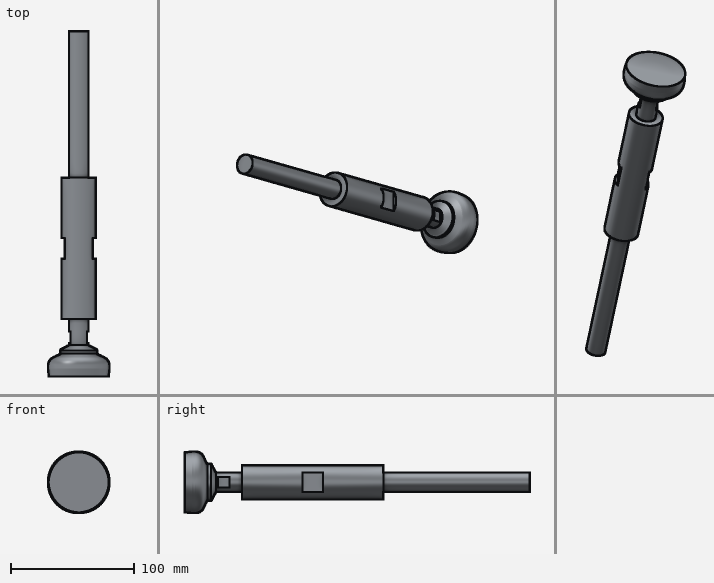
import cadquery as cq
import math

TOTAL_LENGTH = 280.0

SPINDLE_DIAMETER = 16.0
SPINDLE_FLATS_WIDTH = 13.5
SPINDLE_FLATS_START = 27.2
SPINDLE_FLATS_LENGTH = 9.2

SLEEVE_DIAMETER = 28.0
SLEEVE_START = 46.5
SLEEVE_LENGTH = 114.8
SLEEVE_FLATS_WIDTH = 23.0
SLEEVE_FLATS_LENGTH = 16.8

FOOT_DIAMETER = 50.0
FOOT_BASE_DIAMETER = 48.7
RIM_START = 6.2
RIM_END = 8.7
SHOULDER_RADIUS = 7.5
SHOULDER_SLOPE = 26.0

COLLAR_DIAMETER = 30.2
COLLAR_NECK_DIAMETER = 29.0
COLLAR_EDGE_START = 19.3
COLLAR_EDGE_END = 21.3
COLLAR_EDGE_BULGE = 0.17
COLLAR_SHOULDER_DIAMETER = 27.5
COLLAR_SHOULDER_HEIGHT = 22.5
COLLAR_TOP = 25.5


def rod(diameter, start, length):
    """Solid cylinder along +Y."""
    return cq.Workplane("XZ", origin=(0, start, 0)).circle(diameter / 2).extrude(-length)


def cut_flats(body, diameter, width, start, length):
    """Cut two opposite wrench flats facing -X and +X."""
    depth = (diameter - width) / 2
    for side in (-1, 1):
        cutter = cq.Workplane("XY").box(depth, length, diameter)
        body = body.cut(cutter.translate((side * (width + depth) / 2, start + length / 2, 0)))
    return body


def make_foot():
    """Revolved foot: tapered base, rim, rounded shoulder and collar."""
    rim_radius = FOOT_DIAMETER / 2
    neck_radius = COLLAR_NECK_DIAMETER / 2
    arc_center_x = rim_radius - SHOULDER_RADIUS

    def shoulder_point(angle):
        return (
            arc_center_x + SHOULDER_RADIUS * math.cos(angle),
            RIM_END + SHOULDER_RADIUS * math.sin(angle),
        )

    arc_angle = math.radians(90 - SHOULDER_SLOPE)
    arc_end_x, arc_end_y = shoulder_point(arc_angle)
    neck_height = arc_end_y + (arc_end_x - neck_radius) * math.tan(math.radians(SHOULDER_SLOPE))
    profile = (
        cq.Workplane("XY")
        .lineTo(FOOT_BASE_DIAMETER / 2, 0)
        .lineTo(rim_radius, RIM_START)
        .lineTo(rim_radius, RIM_END)
        .threePointArc(shoulder_point(arc_angle / 2), (arc_end_x, arc_end_y))
        .lineTo(neck_radius, neck_height)
        .sagittaArc((COLLAR_DIAMETER / 2, COLLAR_EDGE_START), -COLLAR_EDGE_BULGE)
        .lineTo(COLLAR_DIAMETER / 2, COLLAR_EDGE_END)
        .sagittaArc((COLLAR_SHOULDER_DIAMETER / 2, COLLAR_SHOULDER_HEIGHT), -COLLAR_EDGE_BULGE)
        .lineTo(SPINDLE_DIAMETER / 2, COLLAR_TOP)
        .lineTo(0, COLLAR_TOP)
        .close()
    )
    return profile.revolve(360, (0, 0, 0), (0, 1, 0))


def make_spindle():
    """Spindle with its foot and wrench flats, as one body."""
    shaft = rod(SPINDLE_DIAMETER, COLLAR_TOP, TOTAL_LENGTH - COLLAR_TOP)
    shaft = cut_flats(
        shaft, SPINDLE_DIAMETER, SPINDLE_FLATS_WIDTH, SPINDLE_FLATS_START, SPINDLE_FLATS_LENGTH
    )
    return shaft.union(make_foot())


def make_sleeve():
    """Sleeve around the spindle, with wrench flats at mid-length."""
    sleeve = rod(SLEEVE_DIAMETER, SLEEVE_START, SLEEVE_LENGTH)
    sleeve = sleeve.cut(rod(SPINDLE_DIAMETER, SLEEVE_START, SLEEVE_LENGTH))
    flats_start = SLEEVE_START + (SLEEVE_LENGTH - SLEEVE_FLATS_LENGTH) / 2
    return cut_flats(
        sleeve, SLEEVE_DIAMETER, SLEEVE_FLATS_WIDTH, flats_start, SLEEVE_FLATS_LENGTH
    )


spindle = make_spindle()
sleeve = make_sleeve()

result = cq.Compound.makeCompound([spindle.val(), sleeve.val()])